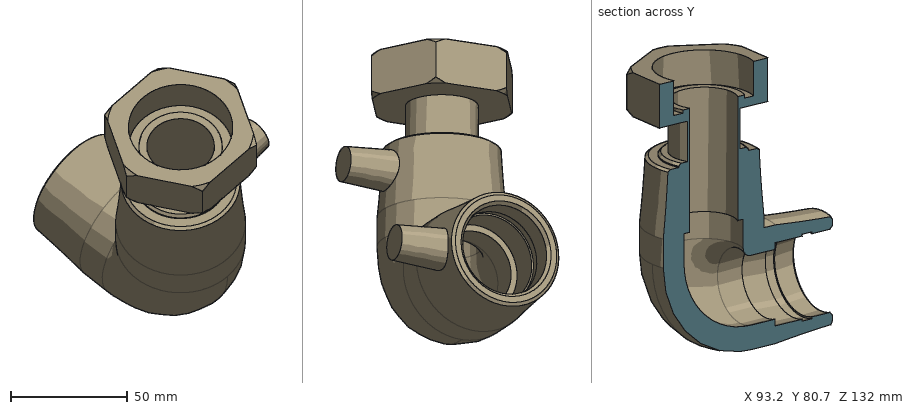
import cadquery as cq
import math

body_radius = 56.0 / 2
bend_radius = 19.9
straight_end = 33.1
leg_length = 64.0
end_radius = 25.6
taper_hollow = 0.2
end_chamfer_width = 1.5
end_chamfer_length = 0.9
bend_bore_radius = 34.3 / 2

socket_radius = 40.0 / 2
mouth_chamfer = 1.5
groove_position = 47.8
groove_width = 5.0
groove_depth = 0.8

pipe_radius = 31.4 / 2
pipe_bore_radius = 29 / 2
collar_top = 65.7
collar_chamfer = 1.2

nut_flats = 58.3
nut_top = 104.0
nut_height = 20.0
nut_bore_radius = 44.9 / 2
nut_bore_depth = 15.7
nut_bevel = 2.1
flange_radius = 35.9 / 2
flange_rise = 1.5

post_end = 47.0
post_start = 22.5
post_tip_radius = 7.72
post_root_radius = 9.44
post_position = 51.0


def cylinder(radius, bottom, top):
    return cq.Workplane("XY").workplane(offset=bottom).circle(radius).extrude(top - bottom)


def onto_x_leg(leg):
    """Turn a shape built about +Z so that it lies about -X."""
    return leg.rotate((0, 0, 0), (0, 1, 0), -90)


def outer_leg():
    """Straight sleeve followed by a slightly hollow taper to a chamfered end."""
    chamfer_start = leg_length - end_chamfer_length
    taper_middle = (
        (body_radius + end_radius) / 2 - taper_hollow,
        (straight_end + chamfer_start) / 2,
    )
    profile = (
        cq.Workplane("XZ")
        .moveTo(0, bend_radius)
        .lineTo(body_radius, bend_radius)
        .lineTo(body_radius, straight_end)
        .threePointArc(taper_middle, (end_radius, chamfer_start))
        .lineTo(end_radius - end_chamfer_width, leg_length)
        .lineTo(0, leg_length)
        .close()
    )
    return profile.revolve(360, (0, 0, 0), (0, 1, 0))


def socket():
    """Cylindrical socket with a chamfered mouth and a shallow groove inside."""
    bore = cylinder(socket_radius, straight_end, leg_length)
    mouth_start = leg_length - mouth_chamfer
    mouth = cq.Workplane(
        cq.Solid.makeCone(
            socket_radius, socket_radius + mouth_chamfer, mouth_chamfer, cq.Vector(0, 0, mouth_start)
        )
    )
    groove = cylinder(socket_radius + groove_depth, groove_position, groove_position + groove_width)
    return bore.union(mouth).union(groove)


def quarter_bend(radius):
    """Quarter turn of a round section, cut off where it would cross the bend axis."""
    section = cq.Workplane("XY").workplane(offset=bend_radius)
    if radius > bend_radius:
        half_width = math.sqrt(radius**2 - bend_radius**2)
        section = (
            section.moveTo(-bend_radius, -half_width)
            .threePointArc((0, -radius), (radius, 0))
            .threePointArc((0, radius), (-bend_radius, half_width))
            .close()
        )
    else:
        section = section.circle(radius)
    return section.revolve(90, (-bend_radius, 0, 0), (-bend_radius, 1, 0))


def elbow():
    leg = outer_leg()
    body = quarter_bend(body_radius).union(leg).union(onto_x_leg(leg))
    bore = cylinder(bend_bore_radius, bend_radius, straight_end)
    hollow = bore.union(onto_x_leg(bore)).union(quarter_bend(bend_bore_radius))
    return body.cut(hollow).cut(onto_x_leg(socket()))


def post(x, z):
    taper = cq.Solid.makeCone(
        post_root_radius,
        post_tip_radius,
        post_end - post_start,
        cq.Vector(x, post_start, z),
        cq.Vector(0, 1, 0),
    )
    return cq.Workplane(taper)


def nut():
    corner_diameter = nut_flats / math.cos(math.radians(30))
    nut_bottom = nut_top - nut_height
    hexagon = (
        cq.Workplane("XY")
        .workplane(offset=nut_bottom)
        .polygon(6, corner_diameter)
        .extrude(nut_height)
        .rotate((0, 0, 0), (0, 0, 1), 30)
    )
    corner_trim = cylinder(corner_diameter / 2, nut_bottom, nut_top).edges().chamfer(nut_bevel)
    bore = cylinder(nut_bore_radius, nut_top - nut_bore_depth, nut_top)
    return hexagon.intersect(corner_trim).cut(bore)


def pipe_stub():
    nut_floor = nut_top - nut_bore_depth
    flange_top = nut_floor + flange_rise
    collar = cylinder(socket_radius, straight_end, collar_top).faces(">Z").edges().chamfer(collar_chamfer)
    pipe = cylinder(pipe_radius, straight_end, nut_floor)
    flange = cylinder(flange_radius, nut_floor, flange_top)
    return collar.union(pipe).union(flange)


body = elbow()
for x, z in ((-post_position, 0), (0, post_position)):
    body = body.union(post(x, z))
pipe_bore = cylinder(pipe_bore_radius, straight_end, nut_top)
result = body.union(pipe_stub()).union(nut()).cut(pipe_bore)